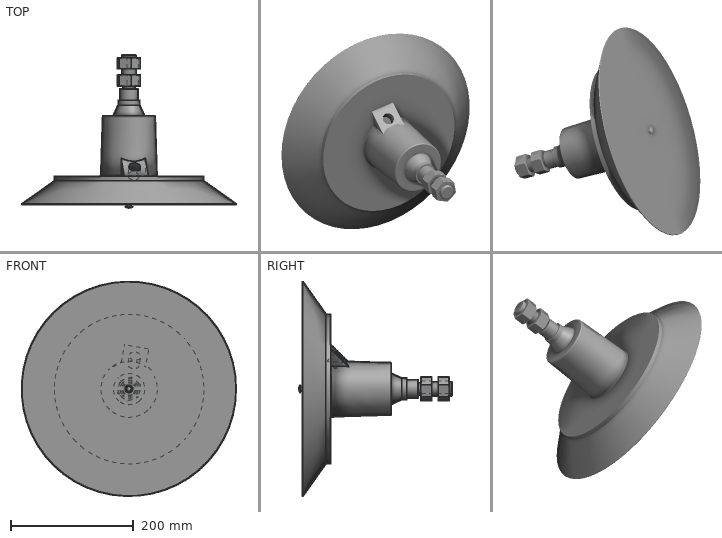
import cadquery as cq


clocking_angle = 10.0

rim_diameter = 350.0
rim_height = 1.0
front_face_diameter = 349.0
flange_diameter = 244.0
flange_thickness = 7.5
flange_back = 46.0

housing_length = 99.0
housing_base_diameter = 92.0
housing_top_diameter = 86.0
housing_edge_radius = 2.0
housing_foot_radius = 1.5

neck_cone_diameter = 51.0
neck_cone_length = 17.0
collar_diameter = 35.5
collar_length = 8.0
sleeve_diameter = 30.0
sleeve_length = 19.0
sleeve_chamfer = 0.8

undercut_diameter = 20.0
undercut_length = 4.2
stud_diameter = 24.0
stud_chamfer = 1.5
stud_overhang = 5.0
nut_corner_diameter = 40.0
nut_height = 18.0
nut_gap = 10.0
nut_chamfer = 1.0

entry_width = 40.0
entry_reach = 70.0
entry_rise = entry_reach / 2
entry_hole_diameter = 18.63
entry_hole_height = 15.3
entry_hole_depth = 20.0

screw_shank_diameter = 8.1
screw_shank_length = 3.63
screw_head_diameter = 12.2
screw_head_height = 2.0

housing_top = flange_back + housing_length
collar_start = housing_top + neck_cone_length
sleeve_start = collar_start + collar_length
sleeve_end = sleeve_start + sleeve_length
inner_nut_start = sleeve_end + undercut_length
outer_nut_start = inner_nut_start + nut_height + nut_gap
stud_end = outer_nut_start + nut_height + stud_overhang


def revolve_about_y(profile):
    """Turn a closed XY profile fully around the Y axis."""
    return profile.close().revolve(360, (0, 0, 0), (0, 1, 0))


def cylinder_y(diameter, start, end):
    """Make a cylinder on the Y axis between two Y positions."""
    return cq.Workplane("XZ", origin=(0, end, 0)).circle(diameter / 2).extrude(end - start)


def make_shade():
    """Conical shade with its bevelled rim and the flange behind it."""
    return revolve_about_y(
        cq.Workplane("XY")
        .moveTo(0, 0)
        .lineTo(front_face_diameter / 2, 0)
        .lineTo(rim_diameter / 2, rim_height)
        .lineTo(flange_diameter / 2, flange_back - flange_thickness)
        .lineTo(flange_diameter / 2, flange_back)
        .lineTo(0, flange_back)
    )


def make_housing():
    """Tapered housing with a rounded rear edge and a rounded foot on the flange."""
    base_radius = housing_base_diameter / 2
    housing = revolve_about_y(
        cq.Workplane("XY")
        .moveTo(0, flange_back)
        .lineTo(base_radius + housing_foot_radius, flange_back)
        .radiusArc((base_radius, flange_back + housing_foot_radius), housing_foot_radius)
        .lineTo(housing_top_diameter / 2, housing_top)
        .lineTo(0, housing_top)
    )
    return housing.faces(">Y").edges().fillet(housing_edge_radius)


def make_neck():
    """Cone, collar and sleeve that lead from the housing to the stud."""
    cone = revolve_about_y(
        cq.Workplane("XY")
        .moveTo(0, housing_top)
        .lineTo(neck_cone_diameter / 2, housing_top)
        .lineTo(collar_diameter / 2, collar_start)
        .lineTo(0, collar_start)
    )
    collar = cylinder_y(collar_diameter, collar_start, sleeve_start)
    sleeve = cylinder_y(sleeve_diameter, sleeve_start, sleeve_end)
    sleeve = sleeve.faces(">Y").chamfer(sleeve_chamfer)
    return cone.union(collar).union(sleeve)


def make_stud():
    """Undercut and stud with a chamfered end."""
    undercut = cylinder_y(undercut_diameter, sleeve_end, inner_nut_start)
    stud = cylinder_y(stud_diameter, inner_nut_start, stud_end)
    return undercut.union(stud.faces(">Y").chamfer(stud_chamfer))


def make_nut(start):
    """Hexagon nut with turned corners, one corner leaning from +Z toward +X."""
    hexagon = (
        cq.Workplane("XZ", origin=(0, start + nut_height, 0))
        .polygon(6, nut_corner_diameter)
        .extrude(nut_height)
        .rotate((0, 0, 0), (0, 1, 0), 90 + clocking_angle)
    )
    turned_blank = cylinder_y(nut_corner_diameter, start, start + nut_height)
    return hexagon.intersect(turned_blank.edges().chamfer(nut_chamfer))


def make_entry_wedge():
    """45 degree wedge standing on the flange, turned about Y from +Z toward +X."""
    wedge = (
        cq.Workplane("YZ", origin=(-entry_width / 2, 0, 0))
        .moveTo(flange_back, 0)
        .lineTo(flange_back, entry_reach)
        .lineTo(flange_back + entry_rise, entry_reach - entry_rise)
        .lineTo(flange_back + entry_rise, 0)
        .close()
        .extrude(entry_width)
    )
    return wedge.rotate((0, 0, 0), (0, 1, 0), clocking_angle)


def make_entry_hole():
    """Cutter for the blind cable hole, square to the sloping face of the wedge."""
    mouth = cq.Vector(0, flange_back + entry_hole_height, entry_reach - entry_hole_height)
    inward = cq.Vector(0, -1, -1)
    hole = cq.Solid.makeCylinder(entry_hole_diameter / 2, entry_hole_depth, mouth, inward)
    return cq.Workplane(hole).rotate((0, 0, 0), (0, 1, 0), clocking_angle)


def make_screw():
    """Screw with a domed head standing out of the front face."""
    shank_radius = screw_shank_diameter / 2
    head_radius = screw_head_diameter / 2
    dome_radius = (head_radius**2 + screw_head_height**2) / (2 * screw_head_height)
    return revolve_about_y(
        cq.Workplane("XY")
        .moveTo(0, 0)
        .lineTo(shank_radius, 0)
        .lineTo(shank_radius, -screw_shank_length)
        .lineTo(head_radius, -screw_shank_length)
        .radiusArc((0, -screw_shank_length - screw_head_height), dome_radius)
    )


result = make_shade().union(make_housing()).union(make_neck()).union(make_stud())
result = result.union(make_nut(inner_nut_start)).union(make_nut(outer_nut_start))
result = result.union(make_screw())
result = result.union(make_entry_wedge()).cut(make_entry_hole())